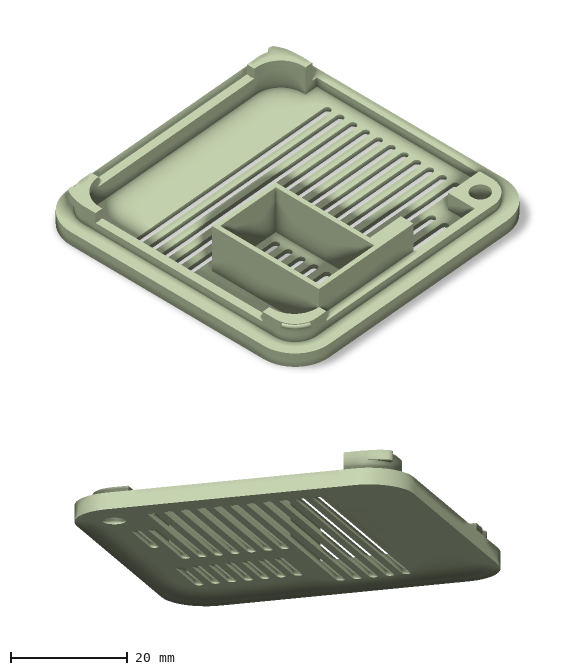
import cadquery as cq
import math

plate_size = 61.0
plate_corner_radius = 8.0
plate_top = 3.0
floor_top = 1.0
rim_size = 54.9
rim_corner_radius = 5.0
rim_top = 4.8
pocket_size = 51.5
pocket_corner_radius = 5.75
corner_top = 7.0
corner_inner = 19.5
front_corner_inner_y = 19.95
back_opening_y = 28.6

rim_half = rim_size / 2
pocket_half = pocket_size / 2
rim_arc_center = rim_half - rim_corner_radius

screw_hole_diameter = 4.0
screw_hole_offset = 23.4

slot_width = 1.5
slot_pitch = 3.0
slot_first_x = -13.95
slot_back_y = 26.0
slot_front_y = -23.0
slot_middle_y = -2.0
slot_post_y = 16.8
slot_short_y = 5.9
box_slot_back_y = -6.6
box_slot_front_y = -17.9
full_slots = range(0, 5)
back_slots = range(5, 11)
post_slot = 11
short_slot = 12
box_slots = range(6, 13)

box_top = 11.0
box_wall = 1.0
box_left = 0.8
box_right = pocket_half
box_front = -front_corner_inner_y
box_back = -3.9
block_left = 22.8
block_back = 3.95

lug_bottom = 5.3
lug_nose_radius = 1.0
lug_end_x = -23.55
lug_flank_angle = math.radians(120)
back_lug_nose = (-26.8, 25.5)
front_lug_nose = (-26.5, -25.4)

bead_radius = 0.4
bead_z = 6.4
bead_start_angle = 17.0
bead_sweep = 56.0


def block(x0, x1, y0, y1, z0, z1):
    """Box between two opposite corners."""
    return cq.Workplane("XY").box(x1 - x0, y1 - y0, z1 - z0, centered=False).translate((x0, y0, z0))


def rounded_square(size, radius, z0, z1):
    """Square prism centred on the Z axis with rounded upright edges."""
    height = z1 - z0
    prism = cq.Workplane("XY").box(size, size, height, centered=(True, True, False))
    return prism.edges("|Z").fillet(radius).translate((0, 0, z0))


def pocket():
    return rounded_square(pocket_size, pocket_corner_radius, floor_top, corner_top)


def rim_corner(x0, x1, y0, y1):
    """Raised part of the rim within the given rectangle, before the pocket is cut."""
    rim = rounded_square(rim_size, rim_corner_radius, rim_top, corner_top)
    return rim.intersect(block(x0, x1, y0, y1, rim_top, corner_top))


def snap_lug(nose, side):
    """Lug on a left corner; side is +1 for the back corner and -1 for the front one."""
    nose_x, nose_y = nose
    end_y = side * (rim_arc_center + math.sqrt(rim_corner_radius**2 - (lug_end_x + rim_arc_center) ** 2))
    flank_start = (
        nose_x + lug_nose_radius * math.cos(lug_flank_angle),
        nose_y + side * lug_nose_radius * math.sin(lug_flank_angle),
    )
    return (
        cq.Workplane("XY")
        .workplane(offset=lug_bottom)
        .moveTo(nose_x, nose_y - side * lug_nose_radius)
        .threePointArc((nose_x - lug_nose_radius, nose_y), flank_start)
        .tangentArcPoint((lug_end_x, end_y), relative=False)
        .close()
        .extrude(corner_top - lug_bottom)
    )


def snap_bead():
    """Round bead following the front right corner arc of the rim."""
    return (
        cq.Workplane("XZ")
        .center(rim_corner_radius, bead_z)
        .circle(bead_radius)
        .revolve(bead_sweep, (-rim_corner_radius, 0), (-rim_corner_radius, 1))
        .rotate((0, 0, 0), (0, 0, 1), -(bead_start_angle + bead_sweep))
        .translate((rim_arc_center, -rim_arc_center, 0))
    )


def vent_slot(index, front_y, back_y):
    """Cutter for one slot of the evenly spaced row."""
    x = slot_first_x + index * slot_pitch
    return (
        cq.Workplane("XY")
        .center(x, (front_y + back_y) / 2)
        .slot2D(back_y - front_y, slot_width, 90)
        .extrude(floor_top)
    )


def vent_slots():
    slots = [vent_slot(i, slot_front_y, slot_back_y) for i in full_slots]
    slots += [vent_slot(i, slot_middle_y, slot_back_y) for i in back_slots]
    slots += [vent_slot(i, box_slot_front_y, box_slot_back_y) for i in box_slots]
    slots.append(vent_slot(post_slot, slot_middle_y, slot_post_y))
    slots.append(vent_slot(short_slot, slot_short_y, slot_post_y))
    return slots


def make_lid():
    lid = rounded_square(plate_size, plate_corner_radius, 0, plate_top)
    lid = lid.union(rounded_square(rim_size, rim_corner_radius, plate_top, rim_top))

    front_left = rim_corner(-rim_half, -corner_inner, -rim_half, -front_corner_inner_y)
    front_right = rim_corner(corner_inner, rim_half, -rim_half, -front_corner_inner_y)
    lid = lid.union(front_left).union(front_right)
    lid = lid.union(snap_lug(front_lug_nose, -1)).union(snap_bead())
    lid = lid.cut(pocket())
    lid = lid.cut(block(-corner_inner, corner_inner, 0, back_opening_y, floor_top, corner_top))

    lid = lid.union(block(corner_inner, pocket_half, corner_inner, pocket_half, floor_top, rim_top))
    screw_hole = (
        cq.Workplane("XY")
        .center(screw_hole_offset, screw_hole_offset)
        .circle(screw_hole_diameter / 2)
        .extrude(rim_top)
    )
    lid = lid.cut(screw_hole)

    for slot in vent_slots():
        lid = lid.cut(slot)
    return lid


def make_corner_piece():
    """Raised back left corner, a separate piece lying on the rim."""
    corner = rim_corner(-rim_half, -corner_inner, corner_inner, rim_half)
    return corner.union(snap_lug(back_lug_nose, 1)).cut(pocket())


def make_box():
    """Open box with a solid block behind its right end."""
    outer = block(box_left, box_right, box_front, box_back, floor_top, box_top)
    inside = block(
        box_left + box_wall,
        box_right - box_wall,
        box_front + box_wall,
        box_back - box_wall,
        floor_top,
        box_top,
    )
    end_block = block(block_left, box_right, box_back, block_back, floor_top, box_top)
    return outer.union(end_block).cut(inside)


lid = make_lid()
corner_piece = make_corner_piece()
box = make_box()
result = cq.Compound.makeCompound([lid.val(), corner_piece.val(), box.val()])